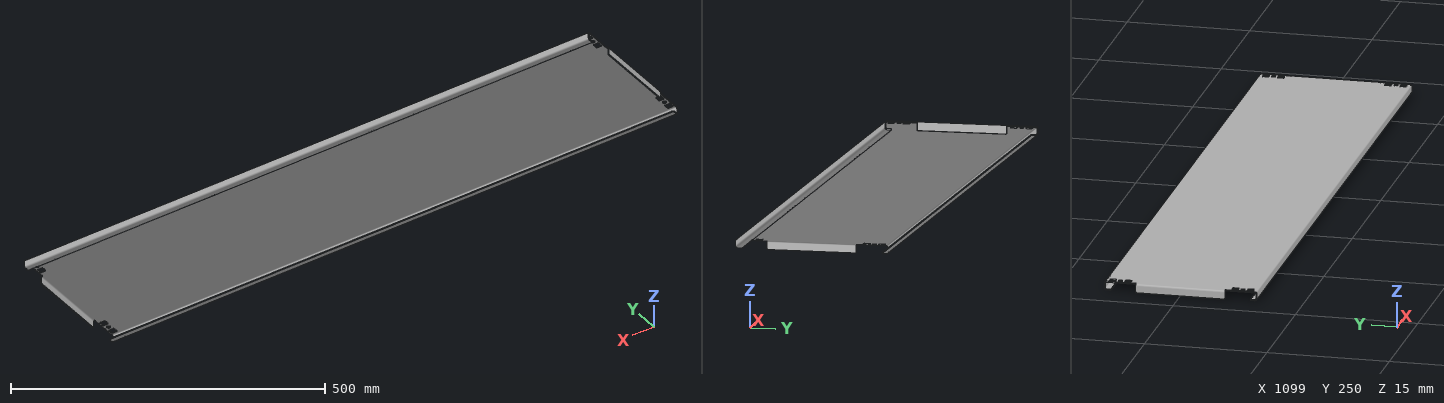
import cadquery as cq

overall_length = 1099.0
overall_width = 250.0
overall_height = 15.0

sheet = 2.0
bend_radius = 4.0
inner_bend_radius = bend_radius - sheet

plate_length = overall_length - 2 * bend_radius

lip_width = 11.0
lip_corner_radius = 2.0

tab_width = 146.0
tab_corner_radius = 2.0

hole_row_x = 537.5
hole_row_center_y = 100.0
square_hole_side = 9.5
square_hole_offset = 12.5
round_hole_diameter = 6.0


def c_section_panel():
    """Plate with a flange and an inward lip along each long side."""
    outer = (
        cq.Workplane("XY")
        .box(plate_length, overall_width, overall_height, centered=(True, True, False))
        .edges("|X")
        .fillet(bend_radius)
    )
    inner = (
        cq.Workplane("XY")
        .workplane(offset=sheet)
        .box(
            plate_length,
            overall_width - 2 * sheet,
            overall_height - 2 * sheet,
            centered=(True, True, False),
        )
        .edges("|X")
        .fillet(inner_bend_radius)
    )
    lip_gap = cq.Workplane("XY").box(
        plate_length,
        overall_width - 2 * lip_width,
        sheet,
        centered=(True, True, False),
    )
    section = outer.cut(inner).cut(lip_gap)
    return section.edges("|Z").edges("<Z").fillet(lip_corner_radius)


def end_tab():
    """Tab at the +X end, bent down from the plate through a right angle."""
    tip = overall_length / 2
    bend_start = plate_length / 2
    bend_bottom = overall_height - bend_radius
    profile = (
        cq.Workplane("XZ")
        .moveTo(bend_start, overall_height)
        .radiusArc((tip, bend_bottom), bend_radius)
        .lineTo(tip, 0)
        .lineTo(tip - sheet, 0)
        .lineTo(tip - sheet, bend_bottom)
        .radiusArc((bend_start, overall_height - sheet), -inner_bend_radius)
        .close()
    )
    return (
        profile.extrude(tab_width / 2, both=True)
        .edges("|X and <Z")
        .fillet(tab_corner_radius)
    )


def corner_holes():
    """Two square holes and a round one through the plate near its +X +Y corner."""
    row = cq.Workplane("XY").workplane(offset=overall_height).center(hole_row_x, hole_row_center_y)
    squares = (
        row.pushPoints([(0, -square_hole_offset), (0, square_hole_offset)])
        .rect(square_hole_side, square_hole_side)
        .extrude(-sheet)
    )
    return squares.union(row.circle(round_hole_diameter / 2).extrude(-sheet))


def at_both_ends(body):
    """The body together with its mirror image at the -X end."""
    return body.union(body.mirror("YZ"))


holes = at_both_ends(corner_holes())
holes = holes.union(holes.mirror("XZ"))

result = c_section_panel().union(at_both_ends(end_tab())).cut(holes)